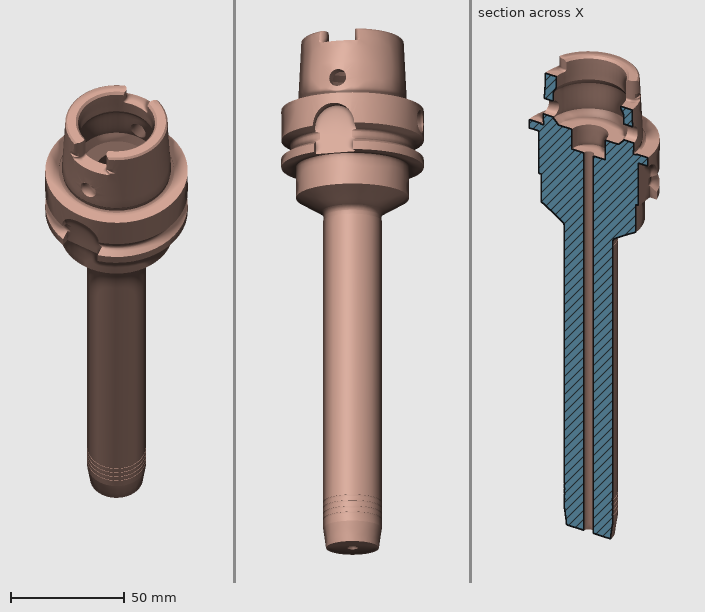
import cadquery as cq
import math


shank_top = 31.9
shank_base_radius = 24.15
shank_base_z = 1.7
taper_slope = 1 / 20
shank_top_radius = shank_base_radius - taper_slope * (shank_top - shank_base_z)
rim_chamfer = 0.8
relief_radius = 23.8
relief_taper_height = 0.6
face_groove_radius = 25.5
face_groove_depth = 0.4

flange_radius = 31.5
flange_bottom = -26
groove_center_z = -18
groove_floor_radius = 27.5
groove_floor_width = 3.75
groove_wall_angle = 30
groove_floor_fillet = 1
groove_half_floor = groove_floor_width / 2
groove_wall_rise = (flange_radius - groove_floor_radius) * math.tan(math.radians(groove_wall_angle))
groove_half_mouth = groove_half_floor + groove_wall_rise

body_radius = 25
body_bottom = -40
stem_radius = 13
stem_bottom = -200
neck_radius = 12.85
neck_bottom = -50.6
shoulder_bottom = -47.3
shoulder_fillet = 2.5

tip_radius = 11.7
tip_height = 9
ring_count = 4
ring_pitch = 2.6
ring_width = 0.7
ring_depth = 0.2
lowest_ring_z = stem_bottom + 12.8

bore_radius = 17
bore_mouth_chamfer = 1
bore_length = 11.6
chamber_radius = 18.5
clamp_shoulder_angle = 30
clamp_shoulder_height = (chamber_radius - bore_radius) / math.tan(math.radians(clamp_shoulder_angle))
chamber_bottom = 2
chamber_floor_radius = 15.8
chamber_floor_chamfer = chamber_radius - chamber_floor_radius
pocket_radius = 8.8
pocket_bottom = -8
through_radius = 2.5

clamp_hole_radius = 3.9
clamp_hole_z = 9.1
chip_hole_radius = 5
chip_hole_z = -7.2
chip_hole_depth = 4.6

drive_half_width = 6.27
drive_flare_radius = 3.5
drive_flare_y = 20.9
drive_inner_y = 10
drive_floor_fillet = 1
front_drive_depth = 10.2
rear_drive_depth = 5.7

notch_y = 19.8
notch_floor_depth = 9.1
notch_height = 2.4
notch_top_half_width = 10.7
notch_floor_half_width = 12.6

key_half_width = 9
key_floor = 26.5
key_arc_radius = 9.5
key_arc_center_z = -14

clearance = 2
selection_margin = 0.1


def turned(profile):
    return profile.close().revolve(360, (0, 0, 0), (0, 1, 0))


def half_turn(shape):
    return shape.rotate((0, 0, 0), (0, 0, 1), 180)


def edges_between(low_z, high_z):
    """Selects the edges that lie wholly between two heights."""
    reach = flange_radius + clearance
    return cq.selectors.BoxSelector(
        (-reach, -reach, low_z - selection_margin),
        (reach, reach, high_z + selection_margin), boundingbox=True)


def outer_body():
    body = turned(cq.Workplane("XZ").polyline([
        (0, shank_top),
        (shank_top_radius - rim_chamfer, shank_top),
        (shank_top_radius, shank_top - rim_chamfer),
        (shank_base_radius, shank_base_z),
        (relief_radius, shank_base_z - relief_taper_height),
        (relief_radius, -face_groove_depth),
        (face_groove_radius, -face_groove_depth),
        (face_groove_radius, 0),
        (flange_radius, 0),
        (flange_radius, groove_center_z + groove_half_mouth),
        (groove_floor_radius, groove_center_z + groove_half_floor),
        (groove_floor_radius, groove_center_z - groove_half_floor),
        (flange_radius, groove_center_z - groove_half_mouth),
        (flange_radius, flange_bottom),
        (body_radius, flange_bottom),
        (body_radius, body_bottom),
        (neck_radius, shoulder_bottom),
        (neck_radius, neck_bottom),
        (stem_radius, neck_bottom),
        (stem_radius, stem_bottom + tip_height),
        (tip_radius, stem_bottom),
        (0, stem_bottom),
    ]))
    body = body.edges(edges_between(shoulder_bottom, shoulder_bottom)).fillet(shoulder_fillet)
    groove_floor = edges_between(groove_center_z - groove_half_floor, groove_center_z + groove_half_floor)
    return body.edges("%CIRCLE").edges(groove_floor).fillet(groove_floor_fillet)


def cavity():
    return turned(cq.Workplane("XZ").polyline([
        (0, shank_top),
        (bore_radius + bore_mouth_chamfer, shank_top),
        (bore_radius, shank_top - bore_mouth_chamfer),
        (bore_radius, shank_top - bore_length),
        (chamber_radius, shank_top - bore_length - clamp_shoulder_height),
        (chamber_radius, chamber_bottom + chamber_floor_chamfer),
        (chamber_floor_radius, chamber_bottom),
        (pocket_radius, chamber_bottom),
        (pocket_radius, pocket_bottom),
        (through_radius, pocket_bottom),
        (through_radius, stem_bottom),
        (0, stem_bottom),
    ]))


def drive_slot(depth):
    """Slot through the -Y side of the rim, with walls that flare outwards."""
    mouth = drive_half_width + drive_flare_radius
    flare_start_y = drive_flare_y - drive_flare_radius
    outer_y = shank_base_radius + clearance
    bulge = drive_flare_radius * (1 - math.sqrt(0.5))
    arc_mid_x = drive_half_width + bulge
    arc_mid_y = drive_flare_y - bulge
    slot = (
        cq.Workplane("XY", origin=(0, 0, shank_top - depth))
        .moveTo(-drive_half_width, -drive_inner_y)
        .lineTo(drive_half_width, -drive_inner_y)
        .lineTo(drive_half_width, -flare_start_y)
        .threePointArc((arc_mid_x, -arc_mid_y), (mouth, -drive_flare_y))
        .lineTo(mouth, -outer_y)
        .lineTo(-mouth, -outer_y)
        .lineTo(-mouth, -drive_flare_y)
        .threePointArc((-arc_mid_x, -arc_mid_y), (-drive_half_width, -flare_start_y))
        .close()
        .extrude(depth)
    )
    wall_feet = slot.faces("<Z").edges("%CIRCLE or |Y")
    return wall_feet.fillet(drive_floor_fillet)


def drive_notches():
    floor_z = shank_top - notch_floor_depth
    return (
        cq.Workplane("XZ", origin=(0, -notch_y, 0))
        .polyline([
            (-notch_floor_half_width, floor_z),
            (notch_floor_half_width, floor_z),
            (notch_top_half_width, floor_z + notch_height),
            (-notch_top_half_width, floor_z + notch_height),
        ])
        .close()
        .extrude(shank_base_radius + clearance - notch_y)
    )


def key_slot():
    """Round-topped flat on the -Y side of the flange, open downwards."""
    depth = flange_radius + clearance - key_floor
    floor = cq.Workplane("XZ", origin=(0, -key_floor, 0))
    arch = floor.center(0, key_arc_center_z).circle(key_arc_radius).extrude(depth)
    straight = (
        floor.moveTo(-key_half_width, flange_bottom)
        .lineTo(key_half_width, flange_bottom)
        .lineTo(key_half_width, key_arc_center_z)
        .lineTo(-key_half_width, key_arc_center_z)
        .close()
        .extrude(depth)
    )
    return arch.union(straight)


def clamp_hole():
    return (
        cq.Workplane("XZ").center(0, clamp_hole_z)
        .circle(clamp_hole_radius)
        .extrude(shank_base_radius + clearance, both=True)
    )


def chip_hole():
    return (
        cq.Workplane("YZ", origin=(-flange_radius, 0, 0)).center(0, chip_hole_z)
        .circle(chip_hole_radius)
        .extrude(chip_hole_depth)
    )


def marking_ring(center_z):
    return (
        cq.Workplane("XY", origin=(0, 0, center_z - ring_width / 2))
        .circle(stem_radius + clearance)
        .circle(stem_radius - ring_depth)
        .extrude(ring_width)
    )


result = outer_body().cut(cavity())
result = result.cut(drive_slot(front_drive_depth))
result = result.cut(drive_notches())
result = result.cut(half_turn(drive_slot(rear_drive_depth)))
result = result.cut(key_slot())
result = result.cut(half_turn(key_slot()))
result = result.cut(clamp_hole())
result = result.cut(chip_hole())
for i in range(ring_count):
    result = result.cut(marking_ring(lowest_ring_z + i * ring_pitch))